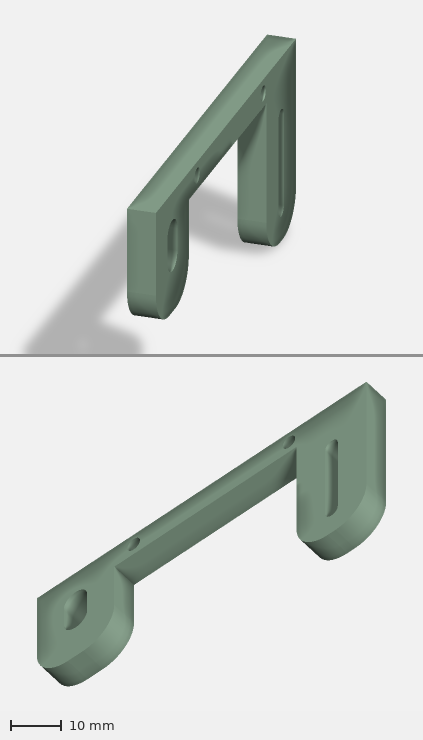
import cadquery as cq

length = 85.0
thickness = 6.0
bar_height = 6.0

long_leg_width = 18.0
long_leg_height = 40.0
short_leg_width = 20.0
short_leg_height = 26.0
corner_radius = 8.0

narrow_slot_width = 3.2
narrow_slot_length = 23.3
narrow_slot_top_gap = 11.4
wide_slot_width = 6.0
wide_slot_length = 11.05
wide_slot_top_gap = 6.0

hole_diameter = 3.2
hole_spacing = 40.0
first_hole_from_long_end = 20.0

long_end_y = length / 2
short_end_y = -length / 2
long_leg_y = long_end_y - long_leg_width / 2
short_leg_y = short_end_y + short_leg_width / 2


def leg(center_y, width, height):
    """Plate leg with its two lower corners rounded."""
    return (
        cq.Workplane("XY")
        .box(thickness, width, height)
        .edges("|X and <Z")
        .fillet(corner_radius)
        .translate((0, center_y, -height / 2))
    )


def slot_cutter(center_y, top_gap, slot_length, slot_width):
    """Round-ended vertical slot through the full thickness."""
    return (
        cq.Workplane("YZ")
        .center(center_y, -top_gap - slot_length / 2)
        .slot2D(slot_length, slot_width, 90)
        .extrude(thickness, both=True)
    )


def hole_cutter(center_y):
    """Round hole through the middle of the bar's height."""
    return (
        cq.Workplane("YZ")
        .center(center_y, -bar_height / 2)
        .circle(hole_diameter / 2)
        .extrude(thickness, both=True)
    )


bar = cq.Workplane("XY").box(thickness, length, bar_height).translate((0, 0, -bar_height / 2))
result = bar.union(leg(long_leg_y, long_leg_width, long_leg_height))
result = result.union(leg(short_leg_y, short_leg_width, short_leg_height))

result = result.cut(slot_cutter(long_leg_y, narrow_slot_top_gap, narrow_slot_length, narrow_slot_width))
result = result.cut(slot_cutter(short_leg_y, wide_slot_top_gap, wide_slot_length, wide_slot_width))

first_hole_y = long_end_y - first_hole_from_long_end
for hole_y in (first_hole_y, first_hole_y - hole_spacing):
    result = result.cut(hole_cutter(hole_y))